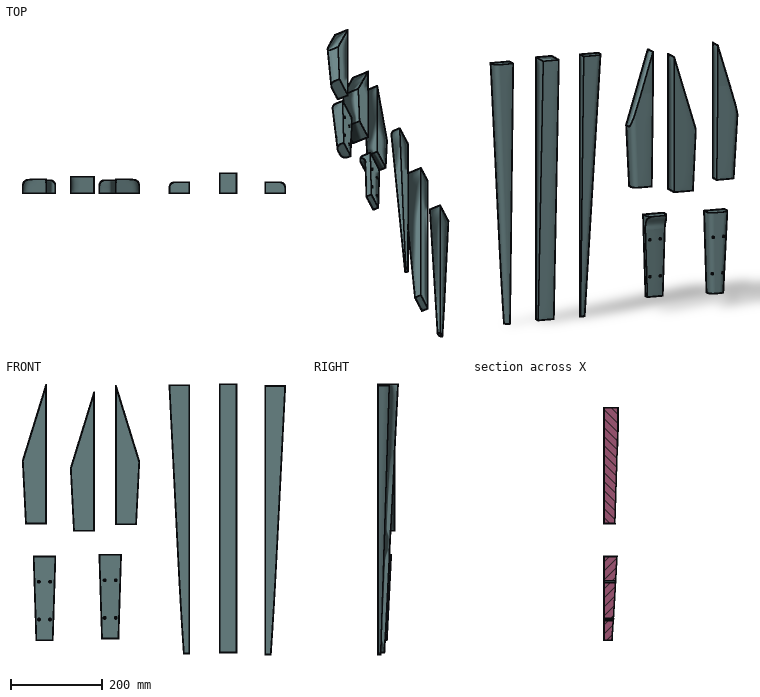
import cadquery as cq
import math

WIDE_TAPER = 0.0508
FINE_TAPER = 0.0317

TOTAL_WIDTH = 574.61
TOTAL_HEIGHT = 591.67
CORNER_RADIUS = 12.7

BAR_LENGTH = 587.6
CENTER_BAR_TOP_DEPTH = 44.29
SIDE_BAR_TOP_WIDTH = 44.0
CENTER_BAR_WIDTH = 37.0
SIDE_BAR_TOP_DEPTH = 24.8
LEFT_BAR_INNER_X = 364.7
LEFT_BAR_BOTTOM_Z = 2.0
CENTER_BAR_X = 449.3
RIGHT_BAR_INNER_X = TOTAL_WIDTH - SIDE_BAR_TOP_WIDTH
RIGHT_BAR_BOTTOM_Z = 0.0

BLADE_LENGTH = 303.4
BLADE_SHOULDER_HEIGHT = 137.0
BLADE_BOTTOM_WIDTH = 44.3
BLADE_SHOULDER_WIDTH = BLADE_BOTTOM_WIDTH + WIDE_TAPER * BLADE_SHOULDER_HEIGHT
SIDE_BLADE_BOTTOM_DEPTH = 24.5
SIDE_BLADE_STOCK_DEPTH = 31.2
MIDDLE_BLADE_DEPTH = 36.7
LEFT_BLADE_INNER_X = BLADE_SHOULDER_WIDTH
LEFT_BLADE_BOTTOM_Z = 286.5
MIDDLE_BLADE_INNER_X = 156.3
MIDDLE_BLADE_BOTTOM_Z = 270.3
RIGHT_BLADE_INNER_X = 204.0
RIGHT_BLADE_BOTTOM_Z = 284.6

GRIP_LENGTH = 183.8
GRIP_TOP_WIDTH = 48.0
GRIP_TOP_DEPTH = 29.2
GRIP_HOLE_DIAMETER = 4.0
GRIP_HOLE_SPACING_X = 24.4
GRIP_HOLE_SPACING_Z = 82.5
GRIP_LOWER_HOLE_HEIGHT = 45.6
PLAIN_GRIP_X = 47.8
PLAIN_GRIP_BOTTOM_Z = 31.0
RELIEVED_GRIP_X = 191.5
RELIEVED_GRIP_BOTTOM_Z = 34.5
TONGUE_DEPTH = 12.3
RELIEF_RADIUS = 40.0


def front_prism(points, y_from, y_to):
    """Extrude an X-Z outline along Y."""
    outline = cq.Workplane("XZ", origin=(0, y_from, 0)).polyline(points).close()
    return outline.extrude(y_from - y_to)


def back_wedge(length, bottom_depth, top_depth, half_width):
    """A block as deep as the part, with a sloping back, reaching in front of Y = 0."""
    front = -CORNER_RADIUS
    profile = [(front, 0), (bottom_depth, 0), (top_depth, length), (front, length)]
    outline = cq.Workplane("YZ", origin=(-half_width, 0, 0)).polyline(profile).close()
    return outline.extrude(2 * half_width)


def tapered_bar(length, x_bottom, x_top, bottom_depth, top_depth, rounded_sides):
    """A bar between two side lines, its chosen back corners rounded, its front flat at Y = 0.

    It is rounded while it still reaches in front of Y = 0, so that the corner may be
    deeper than the finished bar.
    """
    reach = 2 * max(abs(x) for x in (*x_bottom, *x_top, top_depth))
    outline = [(x_bottom[0], 0), (x_bottom[1], 0), (x_top[1], length), (x_top[0], length)]
    bar = front_prism(outline, -CORNER_RADIUS, reach)
    bar = bar.intersect(back_wedge(length, bottom_depth, top_depth, reach))
    for side in rounded_sides:
        bar = bar.faces(">Y").edges(side).fillet(CORNER_RADIUS)
    return bar.intersect(cq.Workplane().box(2 * reach, reach, length, centered=(True, False, False)))


def side_bar():
    """A side bar with its straight side on X = 0 and its tapered, rounded side toward +X."""
    bottom_width = SIDE_BAR_TOP_WIDTH - WIDE_TAPER * BAR_LENGTH
    bottom_depth = SIDE_BAR_TOP_DEPTH - FINE_TAPER * BAR_LENGTH
    return tapered_bar(
        BAR_LENGTH, (0, bottom_width), (0, SIDE_BAR_TOP_WIDTH), bottom_depth, SIDE_BAR_TOP_DEPTH, [">X"]
    )


def center_bar():
    """A square-cornered bar centred on X = 0, of even width, thinner toward the bottom."""
    half_width = CENTER_BAR_WIDTH / 2
    sides = (-half_width, half_width)
    return tapered_bar(
        BAR_LENGTH, sides, sides, CENTER_BAR_TOP_DEPTH - WIDE_TAPER * BAR_LENGTH, CENTER_BAR_TOP_DEPTH, []
    )


def blade_outline():
    """Front outline with the straight side on X = 0 and the point at its top."""
    return [
        (0, 0),
        (BLADE_BOTTOM_WIDTH, 0),
        (BLADE_SHOULDER_WIDTH, BLADE_SHOULDER_HEIGHT),
        (0, BLADE_LENGTH),
    ]


def middle_blade():
    """The blade of even depth, with square back corners."""
    return front_prism(blade_outline(), 0, MIDDLE_BLADE_DEPTH)


def side_blade():
    """A blade with its straight side on X = 0 and its tapered, rounded side toward +X."""
    top_width = BLADE_BOTTOM_WIDTH + WIDE_TAPER * BLADE_LENGTH
    top_depth = SIDE_BLADE_BOTTOM_DEPTH + FINE_TAPER * BLADE_LENGTH
    stock = tapered_bar(
        BLADE_LENGTH, (0, BLADE_BOTTOM_WIDTH), (0, top_width), SIDE_BLADE_BOTTOM_DEPTH, top_depth, [">X"]
    )
    return stock.intersect(front_prism(blade_outline(), 0, SIDE_BLADE_STOCK_DEPTH))


def rounded_grip(bottom_depth):
    """A grip centred on X = 0, narrower below, with rounded back corners and four through holes."""
    half_top = GRIP_TOP_WIDTH / 2
    half_bottom = half_top - FINE_TAPER * GRIP_LENGTH
    grip = tapered_bar(
        GRIP_LENGTH,
        (-half_bottom, half_bottom),
        (-half_top, half_top),
        bottom_depth,
        GRIP_TOP_DEPTH,
        ["<X", ">X"],
    )
    holes = (
        cq.Workplane("XZ", origin=(0, 0, GRIP_LOWER_HOLE_HEIGHT + GRIP_HOLE_SPACING_Z / 2))
        .rarray(GRIP_HOLE_SPACING_X, GRIP_HOLE_SPACING_Z, 2, 2)
        .circle(GRIP_HOLE_DIAMETER / 2)
        .extrude(-GRIP_TOP_DEPTH)
    )
    return grip.cut(holes)


def plain_grip():
    """A grip that gets thinner toward the bottom."""
    return rounded_grip(GRIP_TOP_DEPTH - WIDE_TAPER * GRIP_LENGTH)


def relieved_grip():
    """A grip whose back is cut down to a thin tongue, with a concave run-out at the top."""
    rise = GRIP_TOP_DEPTH - TONGUE_DEPTH
    run = math.sqrt(RELIEF_RADIUS**2 - (RELIEF_RADIUS - rise) ** 2)
    relief = (
        cq.Workplane("YZ", origin=(-GRIP_TOP_WIDTH / 2, 0, 0))
        .moveTo(TONGUE_DEPTH, 0)
        .lineTo(TONGUE_DEPTH, GRIP_LENGTH - run)
        .radiusArc((GRIP_TOP_DEPTH, GRIP_LENGTH), RELIEF_RADIUS)
        .lineTo(GRIP_TOP_DEPTH, 0)
        .close()
        .extrude(GRIP_TOP_WIDTH)
    )
    return rounded_grip(GRIP_TOP_DEPTH).cut(relief)


left_bar = side_bar().mirror("YZ").translate((LEFT_BAR_INNER_X, 0, LEFT_BAR_BOTTOM_Z))
middle_bar = center_bar().translate((CENTER_BAR_X, 0, TOTAL_HEIGHT - BAR_LENGTH))
right_bar = side_bar().translate((RIGHT_BAR_INNER_X, 0, RIGHT_BAR_BOTTOM_Z))
left_blade = side_blade().mirror("YZ").translate((LEFT_BLADE_INNER_X, 0, LEFT_BLADE_BOTTOM_Z))
mid_blade = middle_blade().mirror("YZ").translate((MIDDLE_BLADE_INNER_X, 0, MIDDLE_BLADE_BOTTOM_Z))
right_blade = side_blade().translate((RIGHT_BLADE_INNER_X, 0, RIGHT_BLADE_BOTTOM_Z))
grip_one = plain_grip().translate((PLAIN_GRIP_X, 0, PLAIN_GRIP_BOTTOM_Z))
grip_two = relieved_grip().translate((RELIEVED_GRIP_X, 0, RELIEVED_GRIP_BOTTOM_Z))

bodies = [left_bar, middle_bar, right_bar, left_blade, mid_blade, right_blade, grip_one, grip_two]
result = cq.Compound.makeCompound([body.val() for body in bodies])